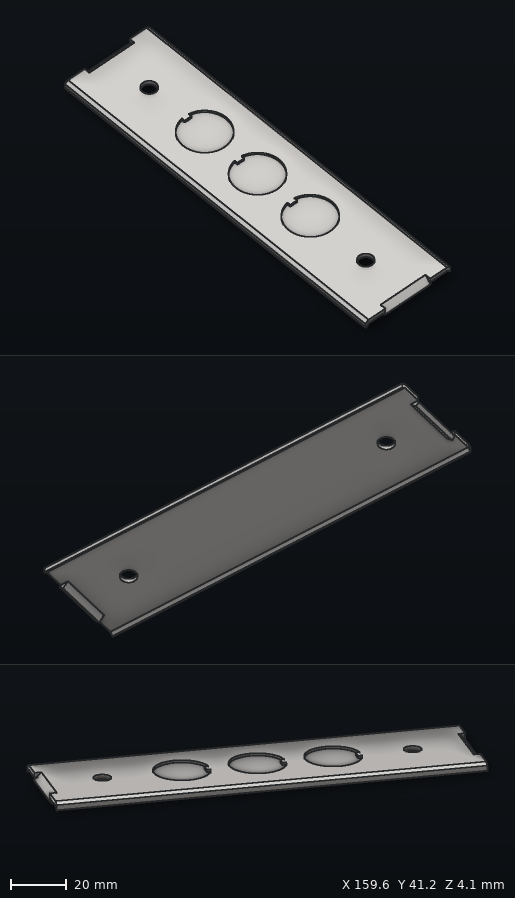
import cadquery as cq
import math

overall_length = 159.6
overall_width = 41.2
overall_height = 4.1

plate_length = 159.1
sheet_thickness = 1.9
bevel_width = 1.6
bevel_height = 1.0
lip_height = 3.0
lip_foot_width = 0.3

tab_width = 21.7
tab_angle = math.radians(45)

knockout_count = 3
knockout_diameter = 20.7
knockout_pitch = 28.0
knockout_depth = 1.0
bridge_width = 3.4
bridge_length = 1.6

hole_diameter = 6.4
hole_spacing = 114.5


def make_plate():
    """Extrude the channel section along X."""
    half_width = overall_width / 2
    foot_y = half_width - lip_foot_width
    bevel_y = half_width - bevel_width
    section = [
        (-bevel_y, 0),
        (bevel_y, 0),
        (half_width, -bevel_height),
        (half_width, -lip_height),
        (foot_y, -lip_height),
        (bevel_y, -sheet_thickness),
        (-bevel_y, -sheet_thickness),
        (-foot_y, -lip_height),
        (-half_width, -lip_height),
        (-half_width, -bevel_height),
    ]
    return cq.Workplane("YZ").polyline(section).close().extrude(plate_length / 2, both=True)


end_run = sheet_thickness * math.sin(tab_angle)
end_rise = sheet_thickness * math.cos(tab_angle)
tab_tip_x = overall_length / 2
tab_drop = overall_height - end_rise
bend_x = tab_tip_x - tab_drop / math.tan(tab_angle)


def make_tab():
    """Build the downward-bent sheet tab at the +X end."""
    inner_bend_x = bend_x - sheet_thickness * math.tan(tab_angle / 2)
    section = [
        (bend_x, 0),
        (tab_tip_x, -tab_drop),
        (tab_tip_x - end_run, -overall_height),
        (inner_bend_x, -sheet_thickness),
    ]
    return cq.Workplane("XZ").polyline(section).close().extrude(tab_width / 2, both=True)


def make_tab_opening():
    """Clear the flat plate beyond the bend line at the +X end."""
    opening_length = tab_tip_x - bend_x
    return cq.Workplane("XY").box(
        opening_length, tab_width, overall_height, centered=(False, True, False)
    ).translate((bend_x, 0, -overall_height))


def make_knockout(center_x):
    """Build the shallow recess around one knockout, leaving its bridge."""
    radius = knockout_diameter / 2
    disc = cq.Workplane("XY").center(center_x, 0).circle(radius).extrude(-knockout_depth)
    bridge = (
        cq.Workplane("XY")
        .center(center_x - radius + bridge_length / 2, 0)
        .rect(bridge_length, bridge_width)
        .extrude(-knockout_depth)
    )
    return disc.cut(bridge)


result = make_plate()

opening = make_tab_opening()
tab = make_tab()
for turn in (0, 180):
    result = result.cut(opening.rotate((0, 0, 0), (0, 0, 1), turn))
    result = result.union(tab.rotate((0, 0, 0), (0, 0, 1), turn))

for index in range(knockout_count):
    knockout_x = (index - (knockout_count - 1) / 2) * knockout_pitch
    result = result.cut(make_knockout(knockout_x))

mounting_holes = (
    cq.Workplane("XY")
    .pushPoints([(-hole_spacing / 2, 0), (hole_spacing / 2, 0)])
    .circle(hole_diameter / 2)
    .extrude(-overall_height)
)
result = result.cut(mounting_holes)